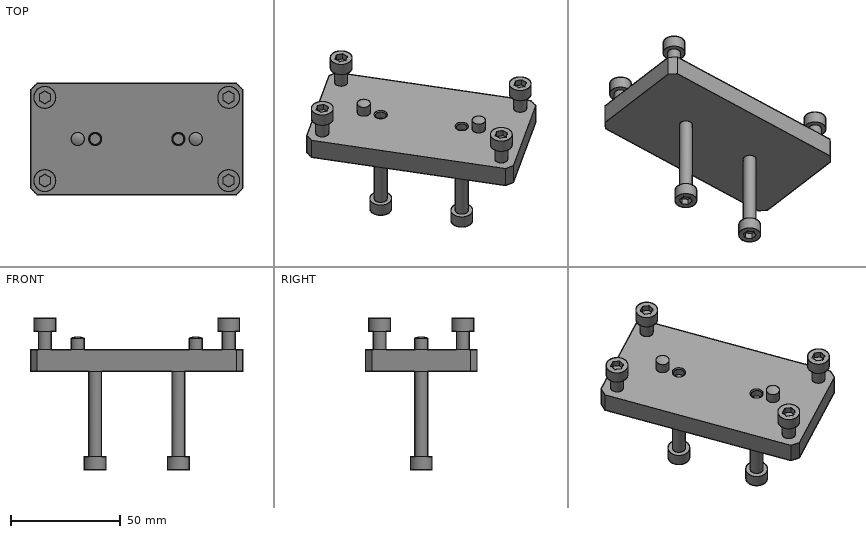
import cadquery as cq
import math

plate_length = 97.0
plate_width = 51.0
plate_thickness = 10.0
corner_chamfer = 3.0

shank_diameter = 6.0
head_diameter = 10.0
head_height = 6.0
socket_across_flats = 5.0
socket_depth = 3.0

corner_screw_x = 42.0
corner_screw_y = 19.0
corner_screw_rise = 14.4

centre_screw_x = 19.0
overall_height = 69.4
centre_screw_drop = overall_height - plate_thickness - corner_screw_rise

tapped_hole_diameter = 4.9
tapped_hole_depth = 4.0
countersink_depth = (shank_diameter - tapped_hole_diameter) / 2

pin_x = 27.0
pin_diameter = 6.0
pin_rise = 5.8
dome_height = 0.7


def make_plate():
    """Rectangular plate with its four upright edges chamfered."""
    plate = cq.Workplane("XY").box(plate_length, plate_width, plate_thickness, centered=(True, True, False))
    return plate.edges("|Z").chamfer(corner_chamfer)


def make_screw(shank_length):
    """Screw along Z with its shank starting at Z = 0 and its head at the top."""
    socket_across_corners = socket_across_flats / math.cos(math.pi / 6)
    shank = cq.Workplane("XY").circle(shank_diameter / 2).extrude(shank_length)
    head = shank.faces(">Z").workplane().circle(head_diameter / 2).extrude(head_height)
    socket = (
        head.faces(">Z").workplane().transformed(rotate=(0, 0, 90))
        .polygon(6, socket_across_corners)
    )
    return socket.cutBlind(-socket_depth)


def make_pin():
    """Upright pin, revolved about Z, whose end is a shallow spherical dome."""
    radius = pin_diameter / 2
    sphere_radius = (radius**2 + dome_height**2) / (2 * dome_height)
    half_angle = math.asin(radius / sphere_radius) / 2
    arc_middle = (
        sphere_radius * math.sin(half_angle),
        pin_rise - sphere_radius * (1 - math.cos(half_angle)),
    )
    profile = (
        cq.Workplane("XZ")
        .lineTo(radius, 0)
        .lineTo(radius, pin_rise - dome_height)
        .threePointArc(arc_middle, (0, pin_rise))
        .close()
    )
    return profile.revolve(360, (0, 0), (0, 1))


def make_tapped_hole():
    """Blind hole below Z = 0 with a countersunk mouth."""
    hole_radius = tapped_hole_diameter / 2
    mouth_radius = shank_diameter / 2
    profile = cq.Workplane("XZ").polyline([
        (0, 0),
        (mouth_radius, 0),
        (hole_radius, -countersink_depth),
        (hole_radius, -tapped_hole_depth),
        (0, -tapped_hole_depth),
    ])
    return profile.close().revolve(360, (0, 0), (0, 1))


corner_screw = make_screw(corner_screw_rise - head_height)
centre_screw = make_screw(centre_screw_drop - head_height).rotate((0, 0, 0), (1, 0, 0), 180)
pin = make_pin()
tapped_hole = make_tapped_hole()

result = make_plate()
for side in (-1, 1):
    for end in (-1, 1):
        corner_position = (side * corner_screw_x, end * corner_screw_y, plate_thickness)
        result = result.union(corner_screw.translate(corner_position))
    result = result.union(centre_screw.translate((side * centre_screw_x, 0, 0)))
    result = result.union(pin.translate((side * pin_x, 0, plate_thickness)))
    result = result.cut(tapped_hole.translate((side * centre_screw_x, 0, plate_thickness)))